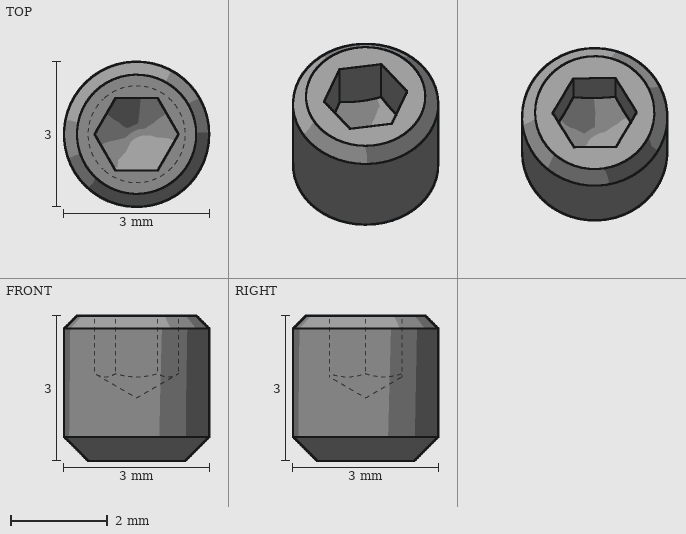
import cadquery as cq
import math

diameter = 3.0
length = 3.0
top_chamfer = 0.27
point_diameter = 2.0
point_chamfer = (diameter - point_diameter) / 2

socket_width = 1.5
socket_depth = 1.2
drill_tip_angle = 120.0
socket_corner_radius = socket_width / 2 / math.cos(math.radians(30))
cone_height = socket_corner_radius / math.tan(math.radians(drill_tip_angle / 2))


def make_body():
    """Plain cylinder with 45 degree chamfers at both ends."""
    body = cq.Workplane("XY").circle(diameter / 2).extrude(length)
    body = body.faces(">Z").chamfer(top_chamfer)
    return body.faces("<Z").chamfer(point_chamfer)


def make_socket():
    """Hexagonal prism, corners on the X axis, trimmed below by the drill cone."""
    cone_start = length - socket_depth
    cone_tip = cone_start - cone_height
    prism = (
        cq.Workplane("XY")
        .workplane(offset=cone_tip)
        .polygon(6, 2 * socket_corner_radius)
        .extrude(length - cone_tip)
    )
    drill = (
        cq.Workplane("XZ")
        .moveTo(0, cone_tip)
        .lineTo(socket_corner_radius, cone_start)
        .lineTo(socket_corner_radius, length)
        .lineTo(0, length)
        .close()
        .revolve(360, (0, 0), (0, 1))
    )
    return prism.intersect(drill)


result = make_body().cut(make_socket())